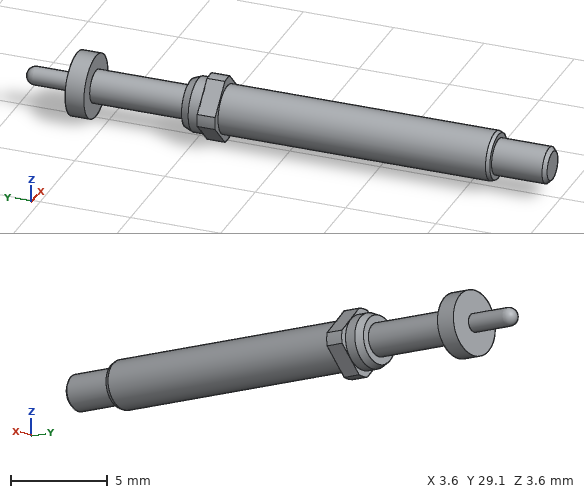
import cadquery as cq

total_length = 29.1

tip_radius = 0.5
disc_radius = 1.75
plunger_radius = 0.9
collar_radius = 1.48
collar_front_radius = 1.3
barrel_radius = 1.35
tail_radius = 1.0

disc_front = 2.75
disc_back = 3.8
collar_front = 9.05
collar_taper_length = 0.45
nut_front = 10.1
nut_back = 11.1
barrel_back = 26.1

barrel_taper_length = 0.2
barrel_taper_depth = 0.1
tail_chamfer = 0.2

nut_corner_diameter = 3.6
nut_across_flats = 3.0

tip_y = total_length / 2


def cylinder(radius, front, back):
    """Solid cylinder on the Y axis between two distances behind the tip."""
    plane = cq.Plane(origin=(0, tip_y - front, 0), xDir=(1, 0, 0), normal=(0, -1, 0))
    return cq.Workplane(plane).circle(radius).extrude(back - front)


def contact_pin():
    """Thin pin with a hemispherical end."""
    ball = cq.Workplane("XY").sphere(tip_radius).translate((0, tip_y - tip_radius, 0))
    return cylinder(tip_radius, tip_radius, disc_front).union(ball)


def collar():
    """Press ring whose front edge tapers towards the plunger."""
    ring = cylinder(collar_radius, collar_front, nut_front)
    taper_depth = collar_radius - collar_front_radius
    return ring.faces(">Y").chamfer(collar_taper_length, taper_depth)


def nut():
    """Square flange standing on its corner, with the corners turned round."""
    length = nut_back - nut_front
    square = (
        cq.Workplane("XY")
        .box(nut_across_flats, length, nut_across_flats)
        .rotate((0, 0, 0), (0, 1, 0), 45)
        .translate((0, tip_y - nut_front - length / 2, 0))
    )
    return square.intersect(cylinder(nut_corner_diameter / 2, nut_front, nut_back))


disc = cylinder(disc_radius, disc_front, disc_back)
plunger = cylinder(plunger_radius, disc_back, collar_front)
barrel = cylinder(barrel_radius, nut_back, barrel_back)
barrel = barrel.faces("<Y").chamfer(barrel_taper_length, barrel_taper_depth)
tail = cylinder(tail_radius, barrel_back, total_length)
tail = tail.faces("<Y").chamfer(tail_chamfer)

result = contact_pin()
for section in (disc, plunger, collar(), nut(), barrel, tail):
    result = result.union(section)